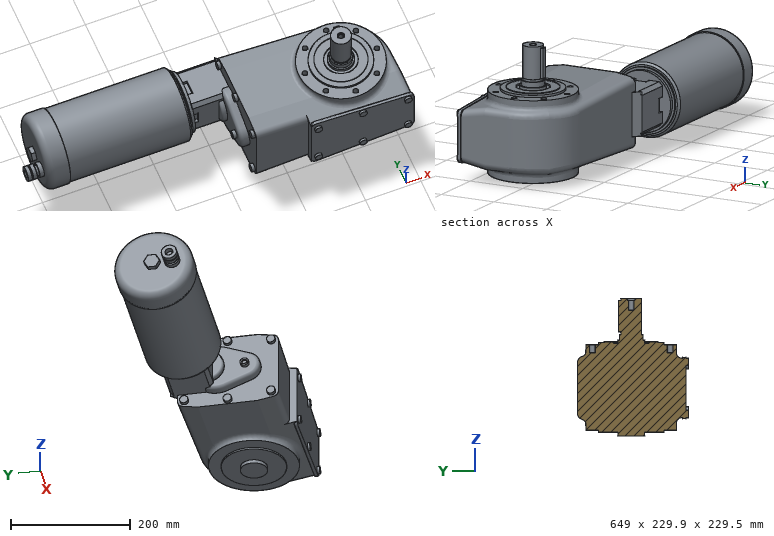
import cadquery as cq
import math


overall_length = 649.0

cover_face_x = -184.0
base_face_y = -91.5
back_y_left = 93.5
back_radius = 90.0
nose_wall_y = -78.5
plate_left_x = -91.0
plate_right_x = 95.0
plate_thickness = 6.0
plate_half_left = 57.0
plate_half_right = 45.5
plate_corner = 9.0
wall_foot_x = 93.1
body_mid_y = (nose_wall_y + back_y_left) / 2
crown_half_width = 50.5
crown_height_left = 66.0
height_slope = 0.048
shoulder_slope = 0.18
nose_edge_radius = 10.5
back_edge_radius = 12.0

margin = 0.5
clearance = 6.5

boss_radius = 76.0
boss_top = 72.0
boss_bottom = -71.0
boss_blend = 8.0
disc_diameter = 110.0
inner_disc_diameter = 90.0
seal_recess_diameter = 58.0
hub_diameter = 45.5
disc_top = 76.0
inner_disc_top = 77.0
seal_depth = 2.5
hub_top = 80.0
disc_bottom = -74.0
hub_bottom = -80.5
shaft_diameter = 35.0
shaft_top = 149.0
shoulder_diameter = 39.5
shoulder_top = 89.0
neck_diameter = 34.5
neck_top = 93.0
flange_hole_count = 8
flange_hole_circle = 130.0
flange_hole_diameter = 9.0
flange_hole_depth = 13.0
key_width = 10.0
key_bottom = 93.5
key_top = 146.0
key_outer_y = 21.5
center_hole_diameter = 8.0
center_hole_depth = 19.5
center_sink_diameter = 12.0
center_sink_depth = 3.0

motor_y = 67.2
motor_radius = 65.0
cap_radius = 67.0
cap_left_x = -526.0
cap_right_x = -487.0
cap_face_radius = 52.5
cap_bulge_radius = 63.0
cap_bulge_x = cap_left_x + 4.0
cap_round_end_x = cap_left_x + 13.0
motor_right_x = -266.0
motor_chamfer = 4.0
spigot_radius = 58.0
spigot_length = 3.0
flange_radius = 53.55
flange_right_x = -256.5

plug_corner_diameter = 27.0
plug_length = 8.0
connector_y = 34.0
connector_tip_x = plate_right_x - overall_length
connector_diameter = 26.0
connector_neck_diameter = 19.5
connector_bore_diameter = 13.0
connector_bore_depth = 10.0
collar_length = 8.0
neck_length = 4.5
groove_width = 2.0
groove_x = -547.0

adapter_size = 76.5
adapter_corner = 6.5
adapter_taper = 12.0
notch_width = 25.0
notch_depth = 6.0
notch_right_x = -244.5

cover_top_x = -200.0
cover_small_y = -24.5
cover_small_radius = 24.5
cover_large_y = 24.5
cover_large_radius = 43.0
cover_round = 6.5
barrel_y = 39.0
barrel_radius = 28.5
barrel_x = -208.5
barrel_round = 4.0
cover_screw_diameter = 14.0
cover_screw_x = -206.5
screw_socket_diameter = 8.5
screw_socket_depth = 3.0

cover_bolt_height = 6.0
cover_bolt_diameter = 14.0
bolt_mid_z = 58.0
bolt_corner_z = 51.0
bolt_offset_y = 74.0
plate_bolt_height = 4.2
plate_bolt_diameter = 13.0
plate_bolts = [(-78.5, 41.5), (2.0, 43.5), (83.0, 37.5)]


def x_cylinder(x_start, x_end, diameter, y, z=0.0):
    """Round bar along X."""
    plane = cq.Workplane("YZ", origin=(x_start, y, z))
    return plane.circle(diameter / 2).extrude(x_end - x_start)


def z_cylinder(z_start, z_end, diameter):
    """Round bar along Z on the output axis."""
    return cq.Workplane("XY", origin=(0, 0, z_start)).circle(diameter / 2).extrude(z_end - z_start)


def crown_height(x):
    """Half height of the flat middle band at a given X."""
    return crown_height_left - height_slope * (x - cover_face_x)


def crowned_envelope():
    """Wedge, wider than the housing, whose upper and lower faces are crowned across Y."""
    half_width = body_mid_y - base_face_y + clearance
    edge_drop = shoulder_slope * (half_width - crown_half_width)
    depth = -2 * crown_height_left
    section = [
        (-half_width, depth),
        (-half_width, crown_height_left - edge_drop),
        (-crown_half_width, crown_height_left),
        (crown_half_width, crown_height_left),
        (half_width, crown_height_left - edge_drop),
        (half_width, depth),
    ]
    points = [cq.Vector(cover_face_x, body_mid_y + y, z) for y, z in section]
    outline = cq.Wire.makePolygon(points, close=True)
    length = plate_right_x - cover_face_x
    descent = cq.Vector(length, 0, -height_slope * length)
    upper = cq.Workplane("XY").add(cq.Solid.extrudeLinear(outline, [], descent))
    return upper.intersect(upper.mirror("XY"))


def housing():
    diagonal = back_radius * math.sqrt(0.5)
    plan = (
        cq.Workplane("XY", origin=(0, 0, -crown_height_left))
        .moveTo(cover_face_x, nose_wall_y)
        .lineTo(cover_face_x, back_y_left)
        .lineTo(0, back_radius)
        .threePointArc((diagonal, diagonal), (back_radius, 0))
        .lineTo(wall_foot_x, base_face_y)
        .lineTo(plate_left_x, base_face_y)
        .lineTo(plate_left_x, nose_wall_y)
        .close()
        .extrude(2 * crown_height_left)
    )
    body = plan.intersect(crowned_envelope())
    nose = cq.selectors.BoxSelector(
        (cover_face_x + clearance, nose_wall_y - margin, -crown_height_left),
        (plate_left_x - clearance, nose_wall_y + margin, crown_height_left),
    )
    body = body.edges(nose).fillet(nose_edge_radius)

    back_wall = cq.selectors.BoxSelector(
        (cover_face_x + clearance, crown_half_width + body_mid_y + clearance, -crown_height_left),
        (plate_right_x, plate_right_x, crown_height_left),
    )
    end_wall = cq.selectors.BoxSelector(
        (boss_radius + margin, nose_wall_y, -crown_height_left),
        (plate_right_x, -nose_wall_y, crown_height_left),
    )
    body = body.edges("not |Z").edges(back_wall + end_wall).fillet(back_edge_radius)

    body = body.union(z_cylinder(boss_bottom, boss_top, 2 * boss_radius))
    reach = boss_radius + margin
    foot_low = crown_height(plate_right_x) - clearance
    upper_foot = cq.selectors.BoxSelector(
        (-reach, -reach, foot_low), (reach, reach, crown_height_left), boundingbox=True
    )
    lower_foot = cq.selectors.BoxSelector(
        (-reach, -reach, -crown_height_left), (reach, reach, -foot_low), boundingbox=True
    )
    crease_y = body_mid_y + crown_half_width
    creases = cq.selectors.BoxSelector(
        (-reach, crease_y - margin, -crown_height_left), (reach, crease_y + margin, crown_height_left)
    )
    body = body.edges(upper_foot + lower_foot - creases).fillet(boss_blend)
    return body


def side_plate():
    """Tapered plate on the -Y side with rounded corners and six screw heads."""
    outline = [
        (plate_left_x, -plate_half_left),
        (plate_left_x, plate_half_left),
        (plate_right_x, plate_half_right),
        (plate_right_x, -plate_half_right),
    ]
    front = cq.Workplane("XZ", origin=(0, base_face_y, 0))
    plate = front.polyline(outline).close().extrude(-plate_thickness)
    plate = plate.edges("|Y").fillet(plate_corner)
    spots = [(x, side * z) for x, z in plate_bolts for side in (1, -1)]
    heads = front.pushPoints(spots).circle(plate_bolt_diameter / 2).extrude(plate_bolt_height)
    return plate.union(heads)


def output_flange():
    """Raised discs and hubs on both ends of the boss."""
    flange = z_cylinder(disc_bottom, disc_top, disc_diameter)
    flange = flange.union(z_cylinder(disc_bottom, inner_disc_top, inner_disc_diameter))
    flange = flange.cut(z_cylinder(inner_disc_top - seal_depth, inner_disc_top, seal_recess_diameter))
    return flange.union(z_cylinder(hub_bottom, hub_top, hub_diameter))


def flange_holes():
    holes = cq.Workplane("XY", origin=(0, 0, boss_top - flange_hole_depth))
    holes = holes.polarArray(flange_hole_circle / 2, 0, 360, flange_hole_count)
    return holes.circle(flange_hole_diameter / 2).extrude(flange_hole_depth)


def output_shaft():
    shaft = z_cylinder(0, shoulder_top, shoulder_diameter)
    shaft = shaft.union(z_cylinder(0, neck_top, neck_diameter))
    shaft = shaft.union(z_cylinder(neck_top, shaft_top, shaft_diameter))
    key = cq.Workplane("XY").box(
        key_width, key_outer_y, key_top - key_bottom, centered=(True, False, False)
    )
    shaft = shaft.union(key.translate((0, 0, key_bottom)))
    shaft = shaft.cut(z_cylinder(shaft_top - center_hole_depth, shaft_top, center_hole_diameter))
    return shaft.cut(z_cylinder(shaft_top - center_sink_depth, shaft_top, center_sink_diameter))


def motor():
    """Motor barrel with end cap, spigot and mounting flange, turned about its own axis."""
    spigot_right_x = motor_right_x + spigot_length
    return (
        cq.Workplane("XY")
        .moveTo(cap_left_x, 0)
        .lineTo(cap_left_x, cap_face_radius)
        .threePointArc((cap_bulge_x, cap_bulge_radius), (cap_round_end_x, cap_radius))
        .lineTo(cap_right_x, cap_radius)
        .lineTo(cap_right_x, motor_radius)
        .lineTo(motor_right_x - motor_chamfer, motor_radius)
        .lineTo(motor_right_x, motor_radius - motor_chamfer)
        .lineTo(motor_right_x, spigot_radius)
        .lineTo(spigot_right_x, spigot_radius)
        .lineTo(spigot_right_x, flange_radius)
        .lineTo(flange_right_x, flange_radius)
        .lineTo(flange_right_x, 0)
        .close()
        .revolve(360, (0, 0, 0), (1, 0, 0))
        .translate((0, motor_y, 0))
    )


def tail_plug():
    """Hexagon plug in the middle of the end cap."""
    face = cq.Workplane("YZ", origin=(cap_left_x - plug_length, motor_y, 0))
    return face.polygon(6, plug_corner_diameter).extrude(plug_length)


def cable_connector():
    """Collar, neck and grooved head beside the plug, bored from the tip."""
    collar_x = cap_left_x - collar_length
    head_x = collar_x - neck_length
    y = connector_y
    connector = x_cylinder(collar_x, cap_left_x, connector_diameter, y)
    connector = connector.union(x_cylinder(connector_tip_x, collar_x, connector_neck_diameter, y))
    connector = connector.union(x_cylinder(connector_tip_x, groove_x, connector_diameter, y))
    connector = connector.union(x_cylinder(groove_x + groove_width, head_x, connector_diameter, y))
    bore_end = connector_tip_x + connector_bore_depth
    return connector.cut(x_cylinder(connector_tip_x, bore_end, connector_bore_diameter, y))


def adapter():
    """Square neck between motor and gearbox, with a notch in the middle of each side."""
    length = cover_face_x - flange_right_x
    block = (
        cq.Workplane("YZ", origin=(flange_right_x, motor_y, 0))
        .rect(adapter_size, adapter_size)
        .extrude(length)
        .edges("|X")
        .chamfer(adapter_corner)
    )
    notch_length = notch_right_x - flange_right_x
    notch = cq.Workplane("XY").box(notch_length, notch_depth, notch_width, centered=(False, False, True))
    notch = notch.translate((flange_right_x, adapter_size / 2 - notch_depth, 0))
    for quarter in range(4):
        turned = notch.rotate((0, 0, 0), (1, 0, 0), 90 * quarter)
        block = block.cut(turned.translate((0, motor_y, 0)))

    ramp = (
        cq.Workplane("XY", origin=(0, 0, -adapter_size / 2))
        .moveTo(cover_face_x, back_y_left)
        .lineTo(cover_face_x, motor_y)
        .lineTo(cover_face_x + adapter_taper, motor_y)
        .lineTo(cover_face_x + adapter_taper, back_y_left)
        .lineTo(cover_face_x, motor_y + adapter_size / 2)
        .close()
        .extrude(adapter_size)
    )
    return block.union(ramp)


def input_cover():
    """Pear-shaped housing: two circles joined by their common tangents."""
    spread = cover_large_y - cover_small_y
    tilt = math.asin((cover_large_radius - cover_small_radius) / spread)
    cos_tilt, sin_tilt = math.cos(tilt), math.sin(tilt)
    small_y = cover_small_y - cover_small_radius * sin_tilt
    small_z = cover_small_radius * cos_tilt
    large_y = cover_large_y - cover_large_radius * sin_tilt
    large_z = cover_large_radius * cos_tilt
    cover = (
        cq.Workplane("YZ", origin=(cover_top_x, 0, 0))
        .moveTo(small_y, small_z)
        .lineTo(large_y, large_z)
        .threePointArc((cover_large_y + cover_large_radius, 0), (large_y, -large_z))
        .lineTo(small_y, -small_z)
        .threePointArc((cover_small_y - cover_small_radius, 0), (small_y, small_z))
        .close()
        .extrude(cover_face_x - cover_top_x)
        .faces("<X").edges().fillet(cover_round)
    )
    barrel = x_cylinder(barrel_x, cover_face_x, 2 * barrel_radius, barrel_y)
    barrel = barrel.faces("<X").edges().fillet(barrel_round)
    screw = x_cylinder(cover_screw_x, cover_face_x, cover_screw_diameter, cover_small_y)
    socket = x_cylinder(
        cover_screw_x, cover_screw_x + screw_socket_depth, screw_socket_diameter, cover_small_y
    )
    return cover.union(barrel).union(screw).cut(socket)


def cover_bolts():
    """Six screw heads on the face that carries the adapter."""
    spots = [(body_mid_y, bolt_mid_z)]
    spots += [(body_mid_y + side * bolt_offset_y, bolt_corner_z) for side in (1, -1)]
    spots += [(y, -z) for y, z in spots]
    face = cq.Workplane("YZ", origin=(cover_face_x, 0, 0))
    return face.pushPoints(spots).circle(cover_bolt_diameter / 2).extrude(-cover_bolt_height)


gearbox = housing().union(side_plate()).union(output_flange()).union(output_shaft())
drive_end = gearbox.union(input_cover()).union(cover_bolts()).union(adapter()).union(motor())
result = drive_end.union(tail_plug()).union(cable_connector()).cut(flange_holes()).solids()